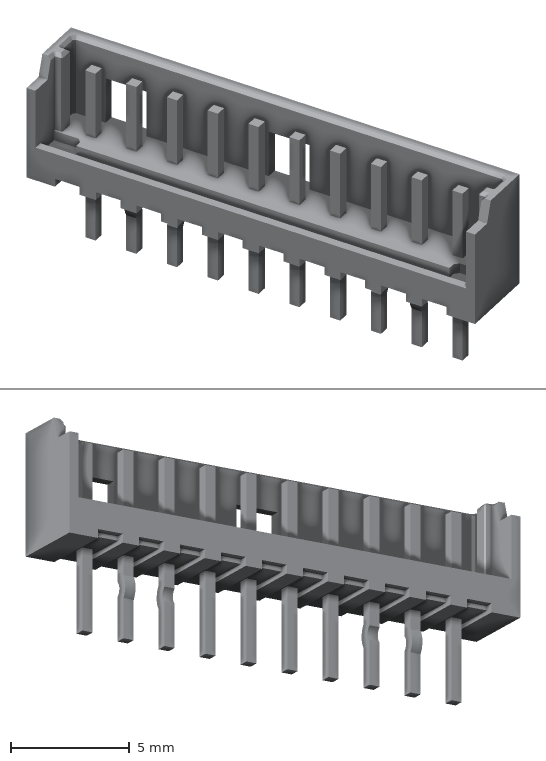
import cadquery as cq
import math

LENGTH = 22.0
DEPTH = 3.65
HEIGHT = 5.5
BASE = 3.5
TOP = BASE + HEIGHT

END_WALL = 0.45
BACK_WALL = 0.5
FRONT_WALL = 0.4
CAVITY_DEPTH = 3.85
PLATFORM_TOP = TOP - CAVITY_DEPTH
CORNER_CUT = 0.1
RIM_CHAMFER = 0.15
INNER_HALF = LENGTH / 2 - END_WALL
INNER_BACK = DEPTH - BACK_WALL

RIB_PROJECTION = 0.35
RIB_FRONT = 1.6
RIB_BACK = 2.25
RIB_CORNER = 0.07

STEP_DROP = 1.0
STEP_FRONT = 1.0
STEP_BACK = 1.3

TROUGH_DEPTH = 0.48
TROUGH_BACK = 1.0
TROUGH_END_BACK = 1.52
TROUGH_END_LENGTH = 1.4
TROUGH_CORNER = 0.2

PIN_COUNT = 10
PITCH = LENGTH / (PIN_COUNT + 1)
PIN_SIZE = PITCH / 4
PIN_Y = 2.15
PIN_TOP_DROP = 0.6
PIN_TOP = TOP - PIN_TOP_DROP

KINK_Z = 2.3
KINK_CHORD = 1.03
KINK_RISE = 0.15
FRONT_KINKED_PINS = (1, 8)
BACK_KINKED_PINS = (2, 7)

WINDOW_TOP_DROP = 1.6
WINDOW_TOP = TOP - WINDOW_TOP_DROP
WINDOW_FIRST_PINS = (0, 4)

GROOVE_WIDTH = 1.2
GROOVE_HEIGHT = 0.2
GROOVE_FRONT_HEIGHT = 0.4
GROOVE_FRONT_DEPTH = 0.4

OVERCUT = 0.22


def box(x_range, y_range, z_range):
    """Box between the given limits on each axis."""
    (x0, x1), (y0, y1), (z0, z1) = x_range, y_range, z_range
    return cq.Workplane("XY").box(x1 - x0, y1 - y0, z1 - z0, centered=False).translate((x0, y0, z0))


def mirrored_outline(right_points, z):
    """Closed outline at height z from its right half, mirrored about X = 0."""
    left_points = [(-x, y) for x, y in reversed(right_points)]
    return cq.Workplane("XY", origin=(0, 0, z)).polyline(right_points + left_points).close()


def pin_x(index):
    return (index - (PIN_COUNT - 1) / 2) * PITCH


def make_shell():
    """Solid block with the stepped side profile."""
    profile = [
        (0, BASE),
        (DEPTH, BASE),
        (DEPTH, TOP),
        (STEP_BACK, TOP),
        (STEP_FRONT, TOP - STEP_DROP),
        (0, TOP - STEP_DROP),
    ]
    return cq.Workplane("YZ").polyline(profile).close().extrude(LENGTH / 2, both=True)


def make_cavity():
    """Open-fronted cavity above the platform, with its chamfered top rim."""
    rib_x = INNER_HALF - RIB_PROJECTION
    right_points = [
        (INNER_HALF, -OVERCUT),
        (INNER_HALF, RIB_FRONT),
        (rib_x + RIB_CORNER, RIB_FRONT),
        (rib_x, RIB_FRONT + RIB_CORNER),
        (rib_x, RIB_BACK),
        (INNER_HALF, RIB_BACK),
        (INNER_HALF, INNER_BACK - CORNER_CUT),
        (INNER_HALF - CORNER_CUT, INNER_BACK),
    ]
    cavity = mirrored_outline(right_points, PLATFORM_TOP).extrude(CAVITY_DEPTH)
    rim = mirrored_outline(right_points, TOP - RIM_CHAMFER).extrude(RIM_CHAMFER, taper=-45)
    return cavity.union(rim)


def make_trough():
    platform_half = INNER_HALF - TROUGH_END_LENGTH
    right_points = [
        (INNER_HALF, FRONT_WALL),
        (INNER_HALF, TROUGH_END_BACK),
        (platform_half + TROUGH_CORNER, TROUGH_END_BACK),
        (platform_half, TROUGH_END_BACK - TROUGH_CORNER),
        (platform_half, TROUGH_BACK),
    ]
    return mirrored_outline(right_points, PLATFORM_TOP - TROUGH_DEPTH).extrude(TROUGH_DEPTH)


def make_window(first_pin):
    x_range = (pin_x(first_pin), pin_x(first_pin + 1))
    return box(x_range, (INNER_BACK - OVERCUT, DEPTH + OVERCUT), (PLATFORM_TOP, WINDOW_TOP))


def make_groove(x):
    """Shallow groove along Y with a higher pocket at the front face."""
    x_range = (x - GROOVE_WIDTH / 2, x + GROOVE_WIDTH / 2)
    groove = box(x_range, (-OVERCUT, DEPTH + OVERCUT), (BASE - OVERCUT, BASE + GROOVE_HEIGHT))
    pocket = box(x_range, (-OVERCUT, GROOVE_FRONT_DEPTH), (BASE, BASE + GROOVE_FRONT_HEIGHT))
    return groove.union(pocket)


def make_pin(x, kink_direction):
    """Square pin; a kink direction of -1 bends it to the front, +1 to the back, 0 leaves it straight."""
    half = PIN_SIZE / 2
    outer_y = PIN_Y + kink_direction * half
    inner_y = PIN_Y - kink_direction * half
    if kink_direction == 0:
        return box((x - half, x + half), (PIN_Y - half, PIN_Y + half), (0, PIN_TOP))

    outer_half_chord = KINK_CHORD / 2
    outer_radius = (outer_half_chord**2 + KINK_RISE**2) / (2 * KINK_RISE)
    inner_radius = outer_radius - PIN_SIZE
    inner_half_chord = math.sqrt(inner_radius**2 - (inner_radius - KINK_RISE) ** 2)
    shift = kink_direction * KINK_RISE
    return (
        cq.Workplane("YZ", origin=(x, 0, 0))
        .moveTo(outer_y, 0)
        .lineTo(outer_y, KINK_Z - outer_half_chord)
        .threePointArc((outer_y + shift, KINK_Z), (outer_y, KINK_Z + outer_half_chord))
        .lineTo(outer_y, PIN_TOP)
        .lineTo(inner_y, PIN_TOP)
        .lineTo(inner_y, KINK_Z + inner_half_chord)
        .threePointArc((inner_y + shift, KINK_Z), (inner_y, KINK_Z - inner_half_chord))
        .lineTo(inner_y, 0)
        .close()
        .extrude(half, both=True)
    )


def kink_direction_of(index):
    if index in FRONT_KINKED_PINS:
        return -1
    if index in BACK_KINKED_PINS:
        return 1
    return 0


result = make_shell().cut(make_cavity()).cut(make_trough())

for first_pin in WINDOW_FIRST_PINS:
    result = result.cut(make_window(first_pin))

for index in range(PIN_COUNT):
    result = result.cut(make_groove(pin_x(index)))

for index in range(PIN_COUNT):
    result = result.union(make_pin(pin_x(index), kink_direction_of(index)))